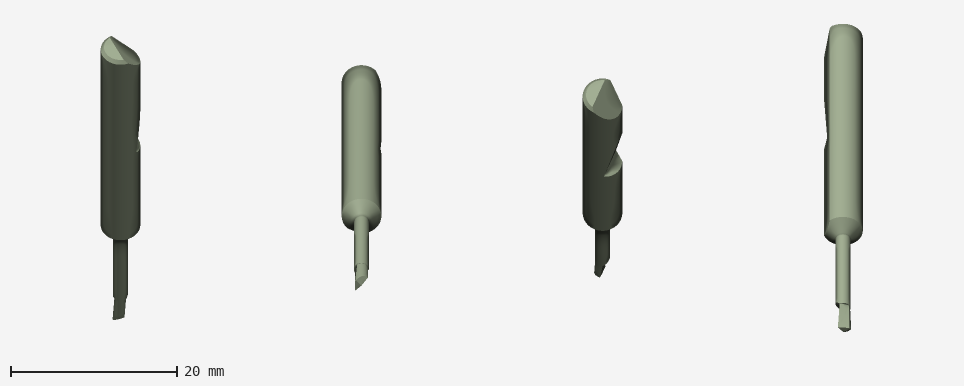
import cadquery as cq
import math

total_length = 50.8
shank_radius = 2.4
neck_radius = 0.9
shank_start = 17.3
neck_top = shank_start - (shank_radius - neck_radius)
end_chamfer = 0.4

flat_direction = 144.0
flat_distance = 2.0
clamp_bevel_start = 47.9
notch_top = 41.15
notch_floor_z = 32.7
notch_bottom = 32.2
notch_floor_y = 1.05

head_top = 4.1
head_top_radius = 0.85
tip_radius = 1.0
rake_angle = 19.0
rake_middle_y = 0.1
tip_y = -0.05
tip_corner_x = 0.05
flank_top_side = (-0.8, -0.3)
flank_top_front = (0.1, -0.85)
flank_tip_side = (-tip_radius, tip_y)
flank_tip_front = (-0.1, -tip_radius)
tip_relief_height = 0.95
cutter_size = 10.15


def turned_body():
    """Shank, cone and neck, flaring slightly towards the tip."""
    profile = [
        (0, 0),
        (tip_radius, 0),
        (head_top_radius, head_top),
        (neck_radius, head_top),
        (neck_radius, neck_top),
        (shank_radius, shank_start),
        (shank_radius, total_length - end_chamfer),
        (shank_radius - end_chamfer, total_length),
        (0, total_length),
    ]
    return cq.Workplane("XZ").polyline(profile).close().revolve(360, (0, 0), (0, 1))


def side_flat():
    """Block removing the flat along the full shank."""
    block = cq.Workplane("XY").box(cutter_size, cutter_size, total_length, centered=(False, True, False))
    return block.translate((flat_distance, 0, 0)).rotate((0, 0, 0), (0, 0, 1), flat_direction)


def cut_across_x(points):
    """Prism along X from an outline of (Y, Z) points."""
    return cq.Workplane("YZ").polyline(points).close().extrude(cutter_size / 2, both=True)


def clamp_bevel():
    bevel_end_y = shank_radius - (total_length - clamp_bevel_start)
    return cut_across_x([
        (shank_radius, clamp_bevel_start),
        (bevel_end_y, total_length),
        (shank_radius, total_length),
    ])


def clamp_notch():
    return cut_across_x([
        (shank_radius, notch_top),
        (notch_floor_y, notch_floor_z),
        (shank_radius, notch_bottom),
    ])


def rake_section(height, middle_y, angle):
    """Section of the space behind the rake face at one height."""
    half = cutter_size / 2
    rise = half * math.tan(math.radians(angle))
    points = [
        (-half, middle_y - rise, height),
        (half, middle_y + rise, height),
        (half, cutter_size, height),
        (-half, cutter_size, height),
    ]
    return cq.Wire.makePolygon([cq.Vector(*point) for point in points], close=True)


def rake_cut():
    """Twisted rake face and the bevel running out of it into the neck."""
    tip = rake_section(0, tip_y, 0)
    top = rake_section(head_top, rake_middle_y, rake_angle)
    runout_y = neck_radius / math.cos(math.radians(rake_angle))
    runout_height = head_top + runout_y - rake_middle_y
    runout = rake_section(runout_height, runout_y, rake_angle)
    face = cq.Solid.makeLoft([tip, top], True)
    bevel = cq.Solid.makeLoft([top, runout], True)
    return cq.Workplane(face).union(cq.Workplane(bevel))


def flank_section(height, side, front):
    """Section of the space outside the flank chord, extended past both ends."""
    run_x = front[0] - side[0]
    run_y = front[1] - side[1]
    start = (side[0] - run_x, side[1] - run_y)
    end = (front[0] + run_x, front[1] + run_y)
    points = [
        cq.Vector(*start, height),
        cq.Vector(*end, height),
        cq.Vector(start[0], end[1], height),
    ]
    return cq.Wire.makePolygon(points, close=True)


def flank_cut():
    """Twisted flat on the -X, -Y side of the head, leaving a ledge under the neck."""
    tip = flank_section(0, flank_tip_side, flank_tip_front)
    top = flank_section(head_top, flank_top_side, flank_top_front)
    return cq.Workplane(cq.Solid.makeLoft([tip, top], True))


def tip_relief():
    """Sloping relief under the +X side of the tip."""
    outline = [(tip_corner_x, 0), (tip_radius, 0), (tip_radius, tip_relief_height)]
    return cq.Workplane("XZ").polyline(outline).close().extrude(cutter_size / 2, both=True)


shank_cuts = [side_flat(), clamp_bevel(), clamp_notch()]
head_cuts = [rake_cut(), flank_cut(), tip_relief()]

result = turned_body()
for cutter in shank_cuts + head_cuts:
    result = result.cut(cutter)